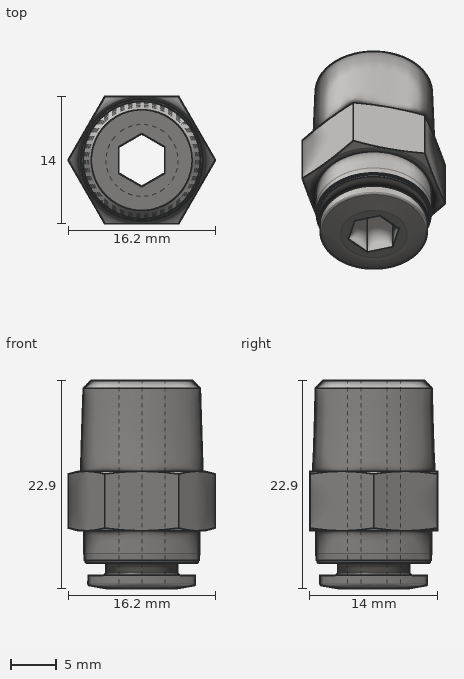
import cadquery as cq
import math

hex_across_flats = 14.0
hex_height = 6.5
hex_chamfer_angle = 15.0
hex_half_angle = 30.0

stub_length = 10.0
stub_base_diameter = 13.43
taper_ratio = 1 / 16
stub_chamfer = 0.9

sleeve_diameter = 12.7
sleeve_length = 2.5
cone_end_diameter = 12.6
cone_length = 0.75
collar_diameter = 12.4
collar_length = 0.35
collar_chamfer = 0.15

neck_diameter = 7.9
neck_length = 1.3
neck_fillet = 0.35
flange_diameter = 11.8
flange_height = 1.5
flange_fillet = 0.2
flange_face_diameter = 7.3
flange_face_angle = 10.0

socket_across_flats = 5.0

neck_base_z = flange_height
collar_base_z = neck_base_z + neck_length
cone_base_z = collar_base_z + collar_length
sleeve_base_z = cone_base_z + cone_length
hex_base_z = sleeve_base_z + sleeve_length
hex_top_z = hex_base_z + hex_height
total_length = hex_top_z + stub_length


def hex_prism(across_flats, base_z, height):
    """Hexagonal prism with two corners on the X axis."""
    across_corners = across_flats / math.cos(math.radians(hex_half_angle))
    return cq.Workplane("XY").workplane(offset=base_z).polygon(6, across_corners).extrude(height)


def revolve_profile(points):
    """Solid of revolution about Z from (radius, z) points."""
    return cq.Workplane("XZ").polyline(points).close().revolve(360, (0, 0), (0, 1))


def make_nut():
    """Hexagon whose corners are turned down to a circle at both ends."""
    flat_radius = hex_across_flats / 2
    limit_radius = hex_across_flats
    drop = (limit_radius - flat_radius) * math.tan(math.radians(hex_chamfer_angle))
    envelope = revolve_profile([
        (0, hex_base_z),
        (flat_radius, hex_base_z),
        (limit_radius, hex_base_z + drop),
        (limit_radius, hex_top_z - drop),
        (flat_radius, hex_top_z),
        (0, hex_top_z),
    ])
    return hex_prism(hex_across_flats, hex_base_z, hex_height).intersect(envelope)


def make_stub():
    """Tapered stub with a chamfered end."""
    base_radius = stub_base_diameter / 2
    taper_length = stub_length - stub_chamfer
    tip_radius = base_radius - taper_length * taper_ratio / 2
    return revolve_profile([
        (0, hex_top_z),
        (base_radius, hex_top_z),
        (tip_radius, hex_top_z + taper_length),
        (tip_radius - stub_chamfer, total_length),
        (0, total_length),
    ])


def make_sleeve():
    """Sleeve with a slightly conical end and a chamfered collar."""
    sleeve_radius = sleeve_diameter / 2
    collar_radius = collar_diameter / 2
    return revolve_profile([
        (0, collar_base_z),
        (collar_radius - collar_chamfer, collar_base_z),
        (collar_radius, collar_base_z + collar_chamfer),
        (collar_radius, cone_base_z),
        (cone_end_diameter / 2, cone_base_z),
        (sleeve_radius, sleeve_base_z),
        (sleeve_radius, hex_base_z),
        (0, hex_base_z),
    ])


def fillet_circle(solid, radius, z, fillet_radius):
    """Fillet the circular edge of the given radius at height z."""
    margin = 0.01
    reach = radius + margin
    around_edge = cq.selectors.BoxSelector(
        (-reach, -reach, z - margin), (reach, reach, z + margin), boundingbox=True
    )
    edges = solid.edges("%CIRCLE").edges(around_edge)
    return edges.fillet(fillet_radius)


def make_release_ring():
    """Flange with a conical end face and rounded rim, joined to the neck by a fillet."""
    flange_radius = flange_diameter / 2
    face_radius = flange_face_diameter / 2
    neck_radius = neck_diameter / 2
    rim_z = (flange_radius - face_radius) * math.tan(math.radians(flange_face_angle))
    ring = revolve_profile([
        (0, 0),
        (face_radius, 0),
        (flange_radius, rim_z),
        (flange_radius, neck_base_z),
        (neck_radius, neck_base_z),
        (neck_radius, collar_base_z),
        (0, collar_base_z),
    ])
    ring = fillet_circle(ring, flange_radius, rim_z, flange_fillet)
    return fillet_circle(ring, neck_radius, neck_base_z, neck_fillet)


def make_socket():
    """Through hexagon with two corners on the Y axis."""
    return hex_prism(socket_across_flats, 0, total_length).rotate((0, 0, 0), (0, 0, 1), hex_half_angle)


result = make_stub().union(make_nut()).union(make_sleeve()).union(make_release_ring())
result = result.cut(make_socket())